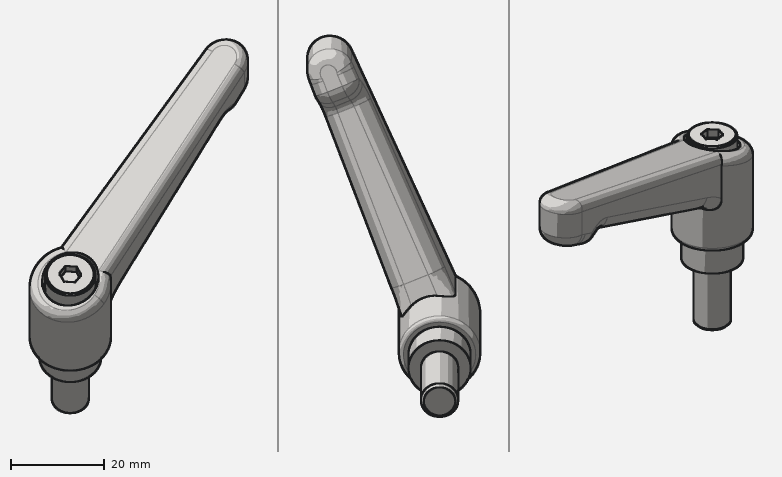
import cadquery as cq
import math


overall_length = 71.75
hub_radius = 8.75
hub_bottom_round = 1.0
top_slope = 14.7
top_height_at_axis = 22.45
top_round = 2.15
counterbore_radius = 6.0
counterbore_floor = 17.2

tip_radius = 5.0
side_taper = 1.5
arm_root_bottom = 2.15
underside_slope = 19.7
underside_round = 3.4
tip_end = overall_length - hub_radius
tip_center = tip_end - tip_radius
tip_underside_height = 28.0
lobe_corner = (54.2, 24.75)
lobe_radius = 3.5
neck_corner = (50.6, 26.6)
neck_radius = 2.15
throat_start = 12.55
throat_end = (5.75, 5.0)

stud_radius = 4.0
stud_bottom = -22.6
stud_chamfer = 0.65
head_radius = 5.4
head_top = 24.25
head_chamfer = 0.35
socket_flats = 4.1
socket_depth = 2.0

sleeve_radius = 6.7
sleeve_length = 6.5

tolerance = 0.01
parallel_cosine = 0.99


def top_height(y):
    """Height of the sloping top face at a given Y."""
    return top_height_at_axis + y * math.tan(math.radians(top_slope))


def cylinder(radius, bottom, top):
    return cq.Workplane("XY").workplane(offset=bottom).circle(radius).extrude(top - bottom)


def round_corner(profile, corner, radius):
    """Round the crosswise edge of the profile that is nearest to a (Y, Z) corner."""
    edge = cq.selectors.NearestToPointSelector((0, *corner))
    return profile.edges("|X").edges(edge).fillet(radius)


def make_arm():
    """Tapered arm with a round tip, a finger lobe and a rounded underside."""
    run = neck_corner[0] - throat_start
    slope = math.radians(underside_slope)
    throat_height = neck_corner[1] - run * math.tan(slope)
    profile = (
        cq.Workplane("YZ", origin=(-hub_radius, 0, 0))
        .moveTo(0, top_height(0))
        .lineTo(tip_end, top_height(tip_end))
        .lineTo(tip_end, tip_underside_height)
        .lineTo(*lobe_corner)
        .lineTo(*neck_corner)
        .lineTo(throat_start, throat_height)
        .spline(
            [throat_end],
            tangents=[(-math.cos(slope), -math.sin(slope)), (0, -1)],
            includeCurrent=True,
        )
        .lineTo(throat_end[0], arm_root_bottom)
        .lineTo(0, arm_root_bottom)
        .close()
        .extrude(2 * hub_radius)
    )
    profile = round_corner(profile, lobe_corner, lobe_radius)
    profile = round_corner(profile, neck_corner, neck_radius)
    taper = math.radians(side_taper)
    root_half_width = (tip_radius + tip_center * math.sin(taper)) / math.cos(taper)
    tangent_x = tip_radius * math.cos(taper)
    tangent_y = tip_center + tip_radius * math.sin(taper)
    plan = (
        cq.Workplane("XY")
        .moveTo(-root_half_width, 0)
        .lineTo(-tangent_x, tangent_y)
        .threePointArc((0, tip_end), (tangent_x, tangent_y))
        .lineTo(root_half_width, 0)
        .close()
        .extrude(overall_length)
    )
    arm = profile.intersect(plan)
    underside = [edge for edge in arm.edges().vals() if is_underside_edge(edge)]
    return arm.newObject(underside).fillet(underside_round)


def is_underside_edge(edge):
    """True for the long lower edges from the throat round the tip."""
    middle = edge.positionAt(0.5)
    direction = edge.tangentAt(0.5)
    below_top = middle.z < top_height(middle.y) - tolerance
    vertical = abs(direction.z) > parallel_cosine
    across = abs(direction.x) > parallel_cosine and middle.y < tip_center
    return below_top and not vertical and not across and middle.y > throat_end[0]


def is_top_outline_edge(edge):
    """True for every edge lying in the sloping top face."""
    points = [edge.positionAt(t) for t in (0, 0.5, 1)]
    return all(abs(p.z - top_height(p.y)) < tolerance for p in points)


def make_lever():
    """Hub and arm in one casting, bored for the screw and its head."""
    hub_top = top_height(hub_radius) + top_round
    hub = cylinder(hub_radius, 0, hub_top).faces("<Z").edges().fillet(hub_bottom_round)
    above_top = (
        cq.Workplane("YZ")
        .moveTo(-tip_end, top_height(-tip_end))
        .lineTo(tip_end, top_height(tip_end))
        .lineTo(-tip_end, top_height(tip_end))
        .close()
        .extrude(tip_end, both=True)
    )
    lever = hub.cut(above_top).union(make_arm()).clean()
    outline = [edge for edge in lever.edges().vals() if is_top_outline_edge(edge)]
    lever = lever.newObject(outline).fillet(top_round)
    lever = lever.cut(cylinder(counterbore_radius, counterbore_floor, overall_length))
    return lever.cut(cylinder(stud_radius, 0, counterbore_floor))


def make_screw():
    """Stud with a hex-socket cylindrical head seated in the counterbore."""
    stud = cylinder(stud_radius, stud_bottom, counterbore_floor).faces("<Z").chamfer(stud_chamfer)
    head = cylinder(head_radius, counterbore_floor, head_top).faces(">Z").chamfer(head_chamfer)
    socket = (
        cq.Workplane("XY")
        .workplane(offset=head_top - socket_depth)
        .transformed(rotate=(0, 0, 30))
        .polygon(6, socket_flats / math.cos(math.radians(30)))
        .extrude(socket_depth)
    )
    return stud.union(head).cut(socket)


def make_sleeve():
    """Plain spacer sleeve around the stud, below the hub."""
    return cylinder(sleeve_radius, -sleeve_length, 0).cut(cylinder(stud_radius, -sleeve_length, 0))


lever = make_lever()
screw = make_screw()
sleeve = make_sleeve()
result = cq.Compound.makeCompound([lever.val(), screw.val(), sleeve.val()])